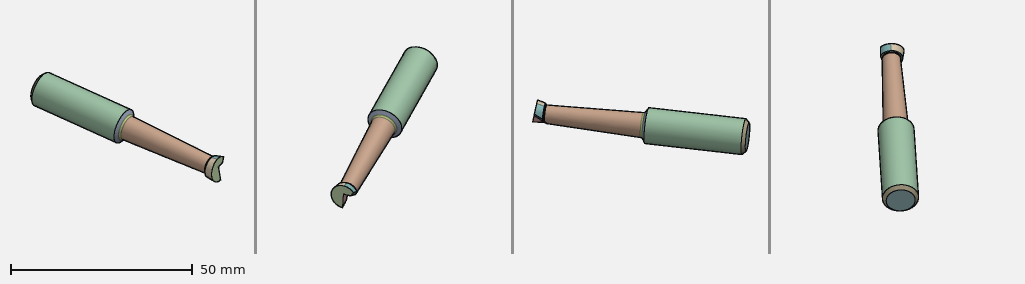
import cadquery as cq
import math

length = 60.0
shank_radius = 5.01
end_chamfer = 1.0

shoulder_start = 28.1
blend_start = 28.8
blend_start_radius = 3.85
neck_start = 29.4
neck_start_radius = 3.51

neck_end = 56.3
neck_end_radius = 2.6
flare_end = 56.5
flare_end_radius = 2.7

head_back_top = (56.7, 3.0)
head_back_bottom = (56.95, -3.35)
head_front_top = (58.85, 3.65)
head_front_bottom = (length, -3.6)

rake_face_y = -0.05
pocket_floor_z = 0.8
pocket_corner_y = 2.0
pocket_flank_y = 2.8
pocket_flank_z = 2.3
pocket_fall_angle = 37.0
pocket_mouth_x = 59.1
pocket_length = 8.4
pocket_clearance = 6.0


def make_shaft():
    """Shank, shoulder, neck and flare, turned about the X axis."""
    profile = (
        cq.Workplane("XY")
        .moveTo(0, 0)
        .lineTo(0, shank_radius - end_chamfer)
        .lineTo(end_chamfer, shank_radius)
        .lineTo(shoulder_start, shank_radius)
        .lineTo(blend_start, blend_start_radius)
        .tangentArcPoint((neck_start, neck_start_radius), relative=False)
        .lineTo(neck_end, neck_end_radius)
        .lineTo(flare_end, flare_end_radius)
        .lineTo(flare_end, 0)
        .close()
    )
    return profile.revolve(360, (0, 0, 0), (1, 0, 0))


def circle_between(top, bottom):
    """Circle across the XZ plane with the given top and bottom points."""
    rise_x = top[0] - bottom[0]
    rise_z = top[1] - bottom[1]
    center = cq.Vector((top[0] + bottom[0]) / 2, 0, (top[1] + bottom[1]) / 2)
    normal = cq.Vector(rise_z, 0, -rise_x)
    return cq.Wire.makeCircle(math.hypot(rise_x, rise_z) / 2, center, normal)


def make_loft(back, front):
    return cq.Workplane(cq.Solid.makeLoft([back, front], True))


def make_pocket():
    """Prism falling towards the shank, open below and on the +Y side."""
    far_y = shank_radius + pocket_clearance
    low_z = -shank_radius - pocket_clearance
    flank_slope = (pocket_flank_y - pocket_corner_y) / (pocket_flank_z - pocket_floor_z)
    flank_top_z = pocket_floor_z + (far_y - pocket_corner_y) / flank_slope
    section = [
        (rake_face_y, low_z),
        (rake_face_y, pocket_floor_z),
        (pocket_corner_y, pocket_floor_z),
        (far_y, flank_top_z),
        (far_y, low_z),
    ]
    fall = math.tan(math.radians(pocket_fall_angle))

    def section_at(x):
        shift_z = (x - pocket_mouth_x) * fall
        return cq.Wire.makePolygon([cq.Vector(x, y, z + shift_z) for y, z in section], close=True)

    return make_loft(section_at(pocket_mouth_x - pocket_length), section_at(length + pocket_clearance))


flare_circle = cq.Wire.makeCircle(flare_end_radius, cq.Vector(flare_end, 0, 0), cq.Vector(1, 0, 0))
head_back = circle_between(head_back_top, head_back_bottom)
head_front = circle_between(head_front_top, head_front_bottom)

collar = make_loft(flare_circle, head_back)
head = make_loft(head_back, head_front)

result = make_shaft().union(collar).union(head).cut(make_pocket())